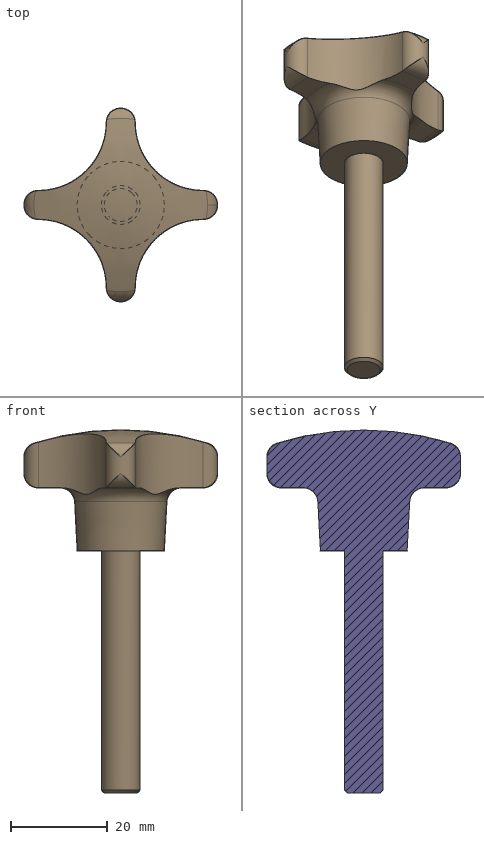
import cadquery as cq
import math


head_radius = 20.0
knob_height = 25.0
underside_height = 13.0
dome_radius = 60.0
rim_fillet = 3.0

arm_half_width = 3.0
tip_center = head_radius - arm_half_width
scallop_radius = tip_center - arm_half_width
arm_count = 4

hub_face_radius = 9.0
hub_taper = math.radians(3)
hub_root_radius = hub_face_radius + underside_height * math.tan(hub_taper)
hub_fillet = 3.0

stud_radius = 4.0
stud_length = 50.0
stud_chamfer = 0.6


def make_round_knob():
    """Domed disc on a tapered hub, before the scallops are cut."""
    dome_drop = dome_radius - math.sqrt(dome_radius**2 - head_radius**2)
    half_drop = dome_radius - math.sqrt(dome_radius**2 - (head_radius / 2) ** 2)
    profile = (
        cq.Workplane("XZ")
        .moveTo(0, 0)
        .lineTo(hub_face_radius, 0)
        .lineTo(hub_root_radius, underside_height)
        .lineTo(head_radius, underside_height)
        .lineTo(head_radius, knob_height - dome_drop)
        .threePointArc((head_radius / 2, knob_height - half_drop), (0, knob_height))
        .close()
    )
    knob = profile.revolve(360, (0, 0, 0), (0, 1, 0))
    knob = knob.faces("%CYLINDER").edges("%CIRCLE").fillet(rim_fillet)
    return knob.faces("%CONE").edges(">Z").fillet(hub_fillet)


def make_star_prism():
    """Upright prism whose outline has rounded arms joined by concave scallops."""

    def turned(x, y, arm_index):
        """Point (x, y) turned about Z by a number of arm spacings."""
        angle = arm_index * 2 * math.pi / arm_count
        return (
            x * math.cos(angle) - y * math.sin(angle),
            x * math.sin(angle) + y * math.cos(angle),
        )

    scallop_middle = tip_center - scallop_radius * math.sqrt(0.5)
    outline = cq.Workplane("XY").moveTo(tip_center, -arm_half_width)
    for arm_index in range(arm_count):
        outline = outline.threePointArc(
            turned(head_radius, 0, arm_index),
            turned(tip_center, arm_half_width, arm_index),
        ).threePointArc(
            turned(scallop_middle, scallop_middle, arm_index),
            turned(arm_half_width, tip_center, arm_index),
        )
    return outline.close().extrude(knob_height)


def make_stud():
    """Plain round stud below the hub, chamfered at its free end."""
    stud = cq.Workplane("XY").circle(stud_radius).extrude(-stud_length)
    return stud.faces("<Z").chamfer(stud_chamfer)


result = make_round_knob().intersect(make_star_prism()).union(make_stud())